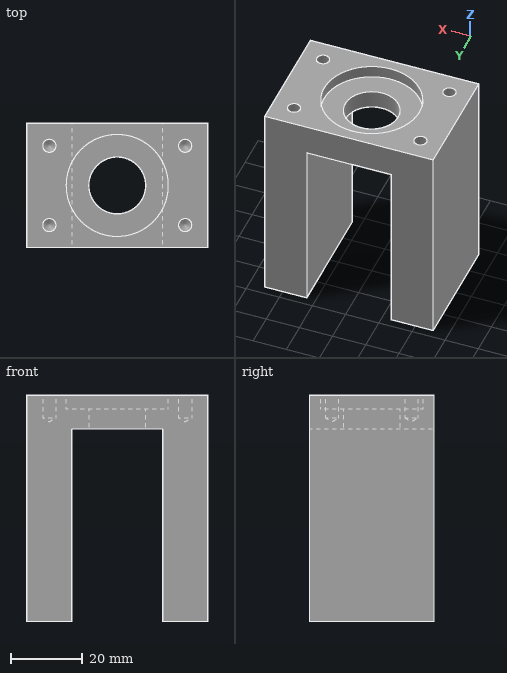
import cadquery as cq
import math

LENGTH = 50.8
WIDTH = 34.9
HEIGHT = 63.5

LEG_THICKNESS = 12.7
BRIDGE_THICKNESS = 9.5

BORE_DIAMETER = 15.9
RECESS_DIAMETER = 28.65
RECESS_DEPTH = 3.8

SCREW_DIAMETER = 3.7
SCREW_DEPTH = 6.35
DRILL_POINT_ANGLE = 118.0
SCREW_SPACING_X = 38.1
SCREW_SPACING_Y = 22.2


def bridge_and_legs():
    """Inverted U: a block with a slot open at the bottom, running along Y."""
    slot_width = LENGTH - 2 * LEG_THICKNESS
    slot_height = HEIGHT - BRIDGE_THICKNESS
    block = cq.Workplane("XY").box(LENGTH, WIDTH, HEIGHT, centered=(True, True, False))
    slot = cq.Workplane("XY").box(slot_width, WIDTH, slot_height, centered=(True, True, False))
    return block.cut(slot)


def drilled_hole():
    """Cutter for one blind hole with a conical bottom, its mouth at the origin."""
    radius = SCREW_DIAMETER / 2
    point_length = radius / math.tan(math.radians(DRILL_POINT_ANGLE / 2))
    half_profile = (
        cq.Workplane("XZ")
        .polyline([(0, 0), (radius, 0), (radius, -SCREW_DEPTH), (0, -SCREW_DEPTH - point_length)])
        .close()
    )
    return half_profile.revolve(360, (0, 0), (0, 1))


result = (
    bridge_and_legs()
    .faces(">Z")
    .workplane(origin=(0, 0, HEIGHT))
    .cboreHole(BORE_DIAMETER, RECESS_DIAMETER, RECESS_DEPTH, depth=BRIDGE_THICKNESS)
)

for side_x in (-1, 1):
    for side_y in (-1, 1):
        mouth = (side_x * SCREW_SPACING_X / 2, side_y * SCREW_SPACING_Y / 2, HEIGHT)
        result = result.cut(drilled_hole().translate(mouth))